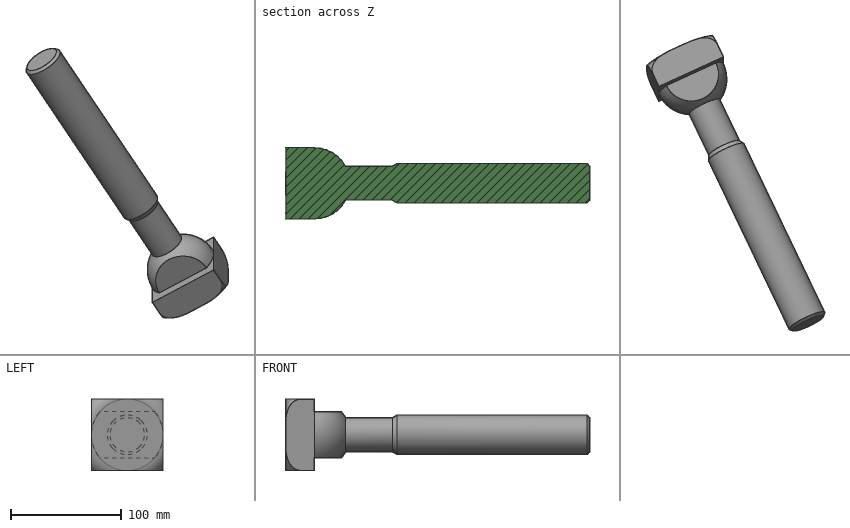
import cadquery as cq
import math

head_width = 65.0
head_thickness = 26.0
length_below_head = 250.0
guide_width = 42.0
thread_diameter = 36.0
thread_length = 175.0
core_diameter = 31.093
run_out_angle = 30.0
corner_round_radius = 13.25

total_length = head_thickness + length_below_head
dome_radius = head_width / 2
thread_radius = thread_diameter / 2
core_radius = core_diameter / 2
thread_depth = thread_radius - core_radius
thread_start = total_length - thread_length
run_out_length = thread_depth / math.tan(math.radians(run_out_angle))
face_radius = head_width / 2


def make_head():
    """Square head whose four front corners are rounded by a turned envelope."""
    block = cq.Workplane("YZ").rect(head_width, head_width).extrude(head_thickness)
    envelope_radius = face_radius + corner_round_radius
    envelope = (
        cq.Workplane("YZ")
        .circle(envelope_radius)
        .extrude(head_thickness)
        .faces("<X")
        .edges()
        .fillet(corner_round_radius)
    )
    return block.intersect(envelope)


def make_guide():
    """Half ball behind the head, flattened on top and bottom to fit the slot."""
    ball = cq.Workplane("XY").sphere(dome_radius).translate((head_thickness, 0, 0))
    slot = (
        cq.Workplane("XY")
        .box(dome_radius, head_width, guide_width, centered=(False, True, True))
        .translate((head_thickness, 0, 0))
    )
    return ball.intersect(slot)


def make_shank():
    """Turned shank: plain neck, conical run-out, threaded length and end chamfer."""
    return (
        cq.Workplane("XY")
        .moveTo(head_thickness, 0)
        .lineTo(head_thickness, core_radius)
        .lineTo(thread_start - run_out_length, core_radius)
        .lineTo(thread_start, thread_radius)
        .lineTo(total_length - thread_depth, thread_radius)
        .lineTo(total_length, core_radius)
        .lineTo(total_length, 0)
        .close()
        .revolve(360, (0, 0, 0), (1, 0, 0))
    )


result = make_head().union(make_guide()).union(make_shank())